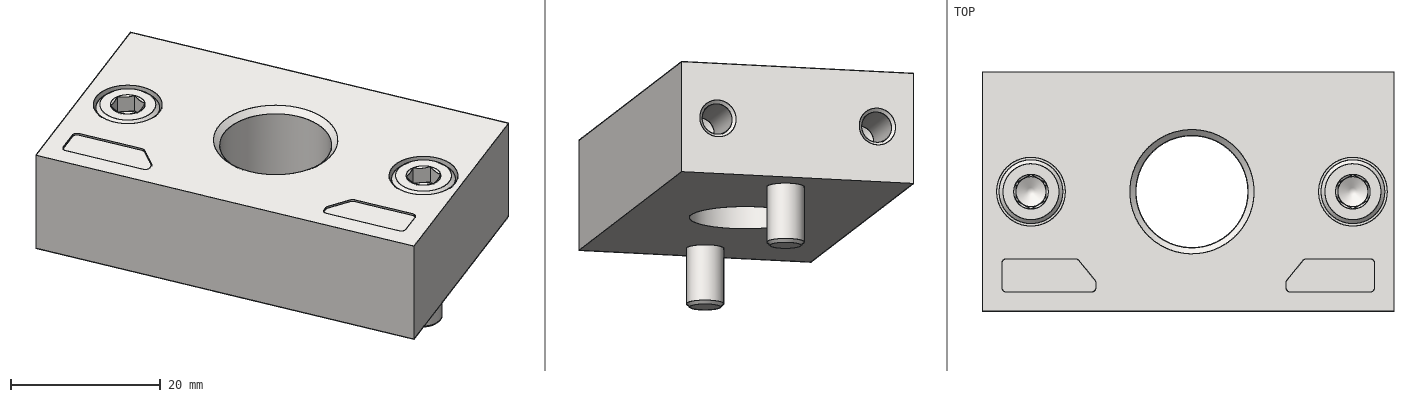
import cadquery as cq
import math

plate_length = 55
plate_width = 32.0
plate_thickness = 15.0

bore_diameter = 14.95
bore_mouth_diameter = 16.6

end_hole_diameter = 4.1
end_hole_mouth_diameter = 5.0
end_hole_spacing = 22
end_hole_depth = 10.0
drill_point_angle = 120

screw_edge_distance = 6.5
screw_spacing = 43.0
head_diameter = 8.5
head_face_diameter = 7.5
head_height = 5.0
shank_diameter = 5.0
shank_tip_diameter = 4.1
shank_projection = 8.0
socket_across_flats = 4.0
socket_depth = 2.5
socket_turn = 30
counterbore_diameter = 9.2

pocket_margin = 2.6
pocket_height = 4.45
pocket_slant_width = 2.5
pocket_slant_height = 3.0
pocket_depth = 0.3
pocket_corner_radius = 0.65
left_pocket_length = 12.6
right_pocket_length = 11.9

screw_positions = [screw_edge_distance, screw_edge_distance + screw_spacing]
bore_x = screw_edge_distance + screw_spacing / 2
head_top = plate_thickness
head_seat = head_top - head_height
socket_corner_diameter = socket_across_flats / math.cos(math.pi / 6)


def cone_height(diameter):
    """Height of a drill point cone with the given base diameter."""
    return diameter / 2 / math.tan(math.radians(drill_point_angle / 2))


def revolved(profile):
    """Solid of revolution about Z from (radius, height) points."""
    return cq.Workplane("XZ").polyline(profile).close().revolve(360, (0, 0), (0, 1))


def bore_cutter():
    """Through bore with a 45 degree chamfer at the top."""
    radius = bore_diameter / 2
    mouth_radius = bore_mouth_diameter / 2
    chamfer = mouth_radius - radius
    profile = [
        (0, 0),
        (radius, 0),
        (radius, plate_thickness - chamfer),
        (mouth_radius, plate_thickness),
        (0, plate_thickness),
    ]
    return revolved(profile).translate((bore_x, 0, 0))


def end_hole_cutter():
    """Chamfered blind hole with a drill point, running up Z from its mouth."""
    radius = end_hole_diameter / 2
    mouth_radius = end_hole_mouth_diameter / 2
    return revolved([
        (0, 0),
        (mouth_radius, 0),
        (radius, mouth_radius - radius),
        (radius, end_hole_depth),
        (0, end_hole_depth + cone_height(end_hole_diameter)),
    ])


def screw_hole_cutter():
    """Counterbored through hole for one screw, centred on Z."""
    clearance = cq.Workplane("XY").circle(shank_diameter / 2).extrude(plate_thickness)
    counterbore = (
        cq.Workplane("XY", origin=(0, 0, head_seat))
        .circle(counterbore_diameter / 2)
        .extrude(plate_thickness - head_seat)
    )
    return clearance.union(counterbore)


def pocket_cutter(length):
    """Rounded pocket with its square corner at the origin and one slanted corner at the far end."""
    return (
        cq.Workplane("XY")
        .polyline([
            (0, 0),
            (length, 0),
            (length, pocket_height - pocket_slant_height),
            (length - pocket_slant_width, pocket_height),
            (0, pocket_height),
        ])
        .close()
        .extrude(pocket_depth)
        .edges("|Z")
        .fillet(pocket_corner_radius)
    )


def make_plate():
    plate = (
        cq.Workplane("XY")
        .box(plate_length, plate_width, plate_thickness, centered=(False, True, False))
        .cut(bore_cutter())
    )
    for x in screw_positions:
        plate = plate.cut(screw_hole_cutter().translate((x, 0, 0)))

    hole_z = plate_thickness / 2
    into_left_end = end_hole_cutter().rotate((0, 0, 0), (0, 1, 0), 90)
    for y in (-end_hole_spacing / 2, end_hole_spacing / 2):
        plate = plate.cut(into_left_end.translate((0, y, hole_z)))

    pocket_y = pocket_margin - plate_width / 2
    pocket_floor = plate_thickness - pocket_depth
    left_pocket = pocket_cutter(left_pocket_length)
    right_pocket = pocket_cutter(right_pocket_length).mirror("YZ")
    plate = plate.cut(left_pocket.translate((pocket_margin, pocket_y, pocket_floor)))
    return plate.cut(right_pocket.translate((plate_length - pocket_margin, pocket_y, pocket_floor)))


def socket_cutter():
    """Hexagon socket with a countersunk mouth and a conical floor, centred on Z."""
    socket_floor = head_top - socket_depth
    flat_radius = socket_across_flats / 2
    corner_radius = socket_corner_diameter / 2
    hexagon = (
        cq.Workplane("XY", origin=(0, 0, socket_floor))
        .polygon(6, socket_corner_diameter)
        .extrude(socket_depth)
        .rotate((0, 0, 0), (0, 0, 1), socket_turn)
    )
    floor_cone = revolved([
        (0, socket_floor - cone_height(socket_across_flats)),
        (flat_radius, socket_floor),
        (0, socket_floor),
    ])
    mouth_cone = revolved([
        (0, head_top - cone_height(socket_corner_diameter)),
        (corner_radius, head_top),
        (0, head_top),
    ])
    return hexagon.union(floor_cone).union(mouth_cone)


def make_screw():
    """Socket cap screw on the Z axis, with chamfered head and tip."""
    head_radius = head_diameter / 2
    face_radius = head_face_diameter / 2
    shank_radius = shank_diameter / 2
    tip_radius = shank_tip_diameter / 2
    tip_z = -shank_projection
    blank = revolved([
        (0, tip_z),
        (tip_radius, tip_z),
        (shank_radius, tip_z + shank_radius - tip_radius),
        (shank_radius, head_seat),
        (head_radius, head_seat),
        (head_radius, head_top - (head_radius - face_radius)),
        (face_radius, head_top),
        (0, head_top),
    ])
    return blank.cut(socket_cutter())


plate = make_plate()
screws = [make_screw().translate((x, 0, 0)) for x in screw_positions]

result = cq.Compound.makeCompound([plate.val(), *[screw.val() for screw in screws]])